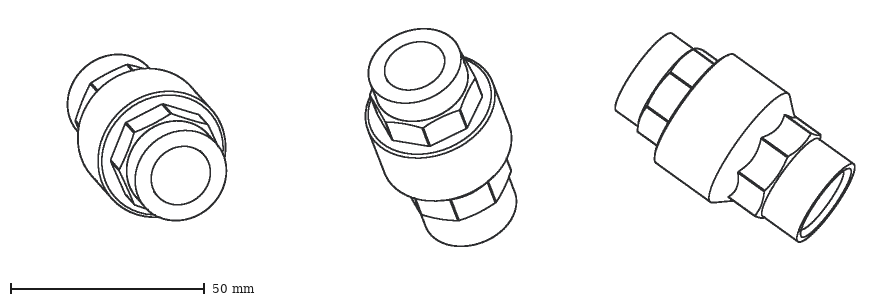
import cadquery as cq
import math

LENGTH = 59.0
LEFT_NUT_START = 11.4
BODY_START = 24.8
BODY_END = 43.0
RIGHT_NUT_END = 51.5

BODY_RADIUS = 34.5 / 2
SHOULDER_ANGLE = 40.0
RIM_ANGLE = 60.0
RIM_CHAMFER = 0.5

NUT_SIDES = 8
NUT_ACROSS_FLATS = 26.0
NUT_CORNER_RADIUS = 14.0
NUT_CHAMFER_ANGLE = 60.0

SPIGOT_RADIUS = 12.35
RIGHT_ROOT_RADIUS = 12.3

PASSAGE_RADIUS = 8.0
SOCKET_RADIUS = 9.4
SOCKET_DEPTH = 15.0
MOUTH_RADIUS = 10.8
MOUTH_DEPTH = 1.4


def cone_length(large_radius, small_radius, angle):
    """Axial length of a cone whose side makes the given angle with the axis."""
    return (large_radius - small_radius) / math.tan(math.radians(angle))


def revolve_profile(points):
    """Turn a closed (x, radius) outline around the X axis."""
    return cq.Workplane("XY").polyline(points).close().revolve(360, (0, 0, 0), (1, 0, 0))


def make_wrench_section():
    """Octagonal bar with corners on the Y and Z axes and chamfered ends."""
    corner_diameter = NUT_ACROSS_FLATS / math.cos(math.pi / NUT_SIDES)
    octagon = (
        cq.Workplane("YZ", origin=(LEFT_NUT_START, 0, 0))
        .polygon(NUT_SIDES, corner_diameter)
        .extrude(RIGHT_NUT_END - LEFT_NUT_START)
    )
    chamfer = cone_length(NUT_CORNER_RADIUS, SPIGOT_RADIUS, NUT_CHAMFER_ANGLE)
    turned_limit = revolve_profile([
        (LEFT_NUT_START, 0),
        (LEFT_NUT_START, SPIGOT_RADIUS),
        (LEFT_NUT_START + chamfer, NUT_CORNER_RADIUS),
        (RIGHT_NUT_END - chamfer, NUT_CORNER_RADIUS),
        (RIGHT_NUT_END, SPIGOT_RADIUS),
        (RIGHT_NUT_END, 0),
    ])
    return octagon.intersect(turned_limit)


def make_turned_body():
    """Both spigots, the conical shoulder and the large round body."""
    shoulder_start = BODY_START - cone_length(BODY_RADIUS, SPIGOT_RADIUS, SHOULDER_ANGLE)
    rim_drop = RIM_CHAMFER * math.tan(math.radians(RIM_ANGLE))
    return revolve_profile([
        (0, 0),
        (0, SPIGOT_RADIUS),
        (shoulder_start, SPIGOT_RADIUS),
        (BODY_START, BODY_RADIUS),
        (BODY_END - RIM_CHAMFER, BODY_RADIUS),
        (BODY_END, BODY_RADIUS - rim_drop),
        (BODY_END, RIGHT_ROOT_RADIUS),
        (RIGHT_NUT_END, RIGHT_ROOT_RADIUS),
        (LENGTH, SPIGOT_RADIUS),
        (LENGTH, 0),
    ])


def make_bore():
    """Through passage opening into a socket with a bevelled mouth at the left end."""
    return revolve_profile([
        (0, 0),
        (0, MOUTH_RADIUS),
        (MOUTH_DEPTH, SOCKET_RADIUS),
        (SOCKET_DEPTH, SOCKET_RADIUS),
        (SOCKET_DEPTH, PASSAGE_RADIUS),
        (LENGTH, PASSAGE_RADIUS),
        (LENGTH, 0),
    ])


result = make_turned_body().union(make_wrench_section()).cut(make_bore())